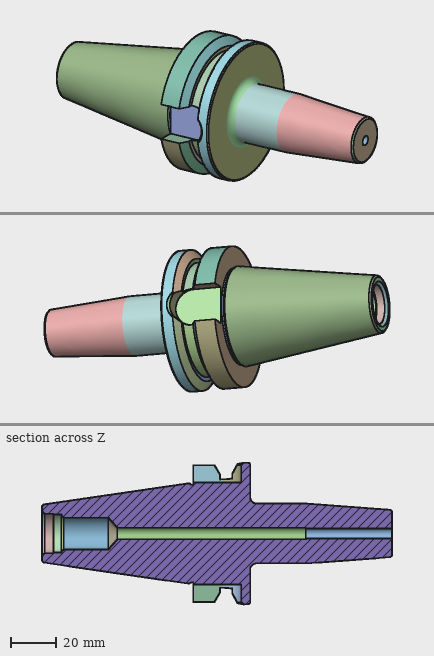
import cadquery as cq

total_length = 155.4
gauge_x = 65.5
relief_x = 66.2
flange_start_x = 67.1
flange_end_x = 92.5
groove_start_x = 79.1
groove_end_x = 84.4
nose_cone_x = 117.2

gauge_r = 22.4
taper_slope = 7 / 48
small_end_r = gauge_r - taper_slope * gauge_x
relief_r = 21.8
flange_r = 63.0 / 2
groove_lip_r = 27.4
groove_r = 25.5
neck_r = 13.4
nose_r = 10.5
neck_fillet = 2.8

groove_flank = 2.5
end_chamfer = 0.8
flange_chamfer = 0.6

slot_width = 16.5
slot_floor = 22.7
slot_end_x = 88.5
slot_chamfer = 1.1

mouth_r = 10.1
mouth_chamfer = 1.2
pilot_r = 8.7
pilot_depth = 5.0
seat_r = 8.4
seat_depth = 8.7
countersink_r = 8.0
countersink_depth = 1.1
thread_r = 7.0
thread_depth = 29.5
coolant_r = 2.5
outlet_r = 2.2
drill_tip_length = 4.0


def make_body():
    """Revolve the outer profile about the X axis."""
    fillet_mid = neck_fillet * (1 - 0.5**0.5)
    profile = (
        cq.Workplane("XY")
        .lineTo(0, small_end_r - end_chamfer)
        .lineTo(end_chamfer, small_end_r + taper_slope * end_chamfer)
        .lineTo(gauge_x, gauge_r)
        .lineTo(relief_x, relief_r)
        .lineTo(flange_start_x, relief_r)
        .lineTo(flange_start_x, flange_r)
        .lineTo(groove_start_x - groove_flank, flange_r)
        .lineTo(groove_start_x, groove_lip_r)
        .lineTo(groove_start_x, groove_r)
        .lineTo(groove_end_x, groove_r)
        .lineTo(groove_end_x, groove_lip_r)
        .lineTo(groove_end_x + groove_flank, flange_r)
        .lineTo(flange_end_x - flange_chamfer, flange_r)
        .lineTo(flange_end_x, flange_r - flange_chamfer)
        .lineTo(flange_end_x, neck_r + neck_fillet)
        .threePointArc(
            (flange_end_x + fillet_mid, neck_r + fillet_mid),
            (flange_end_x + neck_fillet, neck_r),
        )
        .lineTo(nose_cone_x, neck_r)
        .lineTo(total_length - end_chamfer, nose_r)
        .lineTo(total_length, nose_r - end_chamfer)
        .lineTo(total_length, 0)
        .close()
    )
    return profile.revolve(360, (0, 0, 0), (1, 0, 0))


def make_bore():
    """Revolve the chamfered pilot, threaded bore and coolant passage."""
    profile = (
        cq.Workplane("XY")
        .lineTo(0, mouth_r)
        .lineTo(mouth_chamfer, pilot_r)
        .lineTo(pilot_depth, pilot_r)
        .lineTo(pilot_depth + pilot_r - seat_r, seat_r)
        .lineTo(seat_depth, seat_r)
        .lineTo(seat_depth, countersink_r)
        .lineTo(seat_depth + countersink_depth, thread_r)
        .lineTo(thread_depth, thread_r)
        .lineTo(thread_depth + drill_tip_length, coolant_r)
        .lineTo(nose_cone_x, coolant_r)
        .lineTo(nose_cone_x, outlet_r)
        .lineTo(total_length, outlet_r)
        .lineTo(total_length, 0)
        .close()
    )
    return profile.revolve(360, (0, 0, 0), (1, 0, 0))


def make_slot():
    """Build the round-ended drive slot on the -Y side, with its end edge chamfered."""
    half_width = slot_width / 2
    center_x = slot_end_x - half_width
    depth = flange_r - slot_floor
    straight = cq.Workplane("XY").box(
        center_x - flange_start_x, depth, slot_width, centered=(False, False, True)
    ).translate((flange_start_x, -flange_r, 0))
    rounded = (
        cq.Workplane("XZ", origin=(center_x, -slot_floor, 0))
        .circle(half_width)
        .extrude(depth)
    )
    chamfer_cone = cq.Solid.makeCone(
        half_width + slot_chamfer,
        half_width,
        slot_chamfer,
        pnt=cq.Vector(center_x, -flange_r, 0),
        dir=cq.Vector(0, 1, 0),
    )
    end_block = cq.Workplane("XY").box(
        flange_end_x - groove_end_x, 2 * flange_r, 2 * flange_r, centered=(False, True, True)
    ).translate((groove_end_x, 0, 0))
    return straight.union(rounded).union(end_block.intersect(cq.Workplane(chamfer_cone)))


slot = make_slot()
result = make_body().cut(make_bore()).cut(slot).cut(slot.mirror("XZ"))